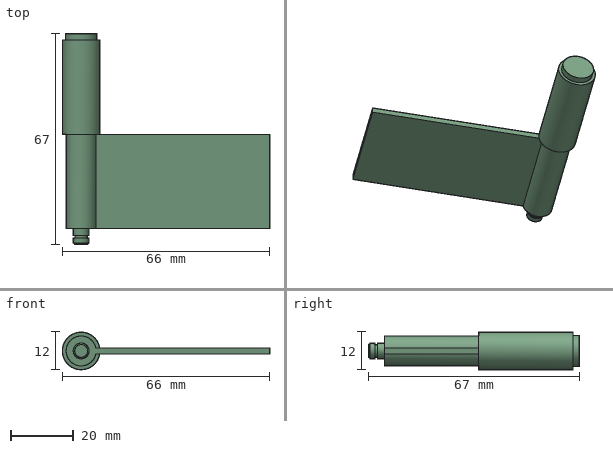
import cadquery as cq


barrel_length = 30.0
sleeve_diameter = 12.0
knuckle_diameter = 9.5
leaf_thickness = 2.0
overall_width = 66.0
leaf_reach = overall_width - sleeve_diameter / 2

pin_diameter = 5.0
head_diameter = 10.0
head_length = 2.0
overall_length = 67.0
tail_length = overall_length - 2 * barrel_length - head_length
groove_diameter = 4.0
groove_width = 0.8
groove_offset = 2.2
tip_chamfer = 0.5


def cylinder(diameter, start_y, length):
    """Cylinder on the hinge axis, running from start_y toward +Y."""
    return (
        cq.Workplane("XZ", origin=(0, start_y, 0))
        .circle(diameter / 2)
        .extrude(-length)
    )


def make_leaf():
    """Flat leaf with the lower knuckle, bored for the pin."""
    knuckle = cylinder(knuckle_diameter, -barrel_length, barrel_length)
    plate = cq.Workplane("XY").box(
        leaf_reach, barrel_length, leaf_thickness, centered=(False, False, True)
    ).translate((0, -barrel_length, 0))
    bore = cylinder(pin_diameter, -barrel_length, barrel_length)
    return knuckle.union(plate).cut(bore)


def make_sleeve():
    """Plain upper barrel, bored for the pin."""
    bore = cylinder(pin_diameter, 0, barrel_length)
    return cylinder(sleeve_diameter, 0, barrel_length).cut(bore)


def make_pin():
    """Headed pin through both barrels, with a retaining groove near its chamfered tip."""
    tip_y = -barrel_length - tail_length
    shank = cylinder(pin_diameter, tip_y, barrel_length - tip_y)
    shank = shank.faces("<Y").chamfer(tip_chamfer)
    head = cylinder(head_diameter, barrel_length, head_length)

    groove_y = -barrel_length - groove_offset - groove_width
    groove_core = cylinder(groove_diameter, groove_y, groove_width)
    groove = cylinder(pin_diameter, groove_y, groove_width).cut(groove_core)
    return shank.union(head).cut(groove)


leaf = make_leaf().solids()
sleeve = make_sleeve().solids()
pin = make_pin().solids()

result = cq.Compound.makeCompound([leaf.val(), sleeve.val(), pin.val()])